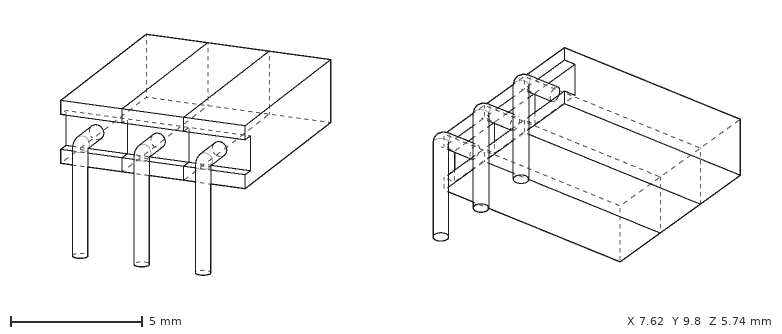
import cadquery as cq

overall_width = 7.62
overall_depth = 9.8
overall_height = 5.74

module_count = 3
pitch = overall_width / module_count
block_height = pitch

block_depth = 8.39
recess_depth = 0.5
lip_thickness = 0.57
recess_height = block_height - 2 * lip_thickness

pin_diameter = 0.6
pin_radius = pin_diameter / 2
bend_outer_radius = 0.5
bend_centreline_radius = bend_outer_radius - pin_radius

recess_floor_y = recess_depth
pin_front_y = block_depth - overall_depth
bend_y = pin_front_y + bend_outer_radius
bend_z = -bend_centreline_radius
leg_y = bend_y - bend_centreline_radius
pin_bottom_z = block_height / 2 - overall_height


def make_block():
    """Rectangular block with the recess cut across its front end."""
    block = cq.Workplane("XY").box(pitch, block_depth, block_height, centered=(True, False, True))
    recess = cq.Workplane("XY").box(pitch, recess_depth, recess_height, centered=(True, False, True))
    return block.cut(recess)


def make_bend():
    """Quarter turn of the pin section about the bend axis.

    The bend is tighter than the pin radius, so only the part of the
    circular section outside the bend axis is revolved.
    """
    half_chord = (pin_radius**2 - bend_centreline_radius**2) ** 0.5
    return (
        cq.Workplane("XZ", origin=(0, bend_y, 0))
        .moveTo(-half_chord, bend_z)
        .threePointArc((0, pin_radius), (half_chord, bend_z))
        .close()
        .revolve(90, (-half_chord, bend_z), (half_chord, bend_z))
    )


def make_pin():
    """Horizontal stub, tight bend and vertical leg."""
    stub_length = recess_floor_y - bend_y
    leg_length = bend_z - pin_bottom_z
    stub = cq.Workplane("XZ", origin=(0, recess_floor_y, 0)).circle(pin_radius).extrude(stub_length)
    leg = cq.Workplane("XY", origin=(0, leg_y, pin_bottom_z)).circle(pin_radius).extrude(leg_length)
    return stub.union(leg).union(make_bend())


def make_module(index):
    """One contact module: block and pin in one piece, at its place in the row."""
    x = (index - (module_count - 1) / 2) * pitch
    return make_block().union(make_pin()).translate((x, 0, 0))


modules = [make_module(index) for index in range(module_count)]

result = cq.Compound.makeCompound([module.solids().val() for module in modules])